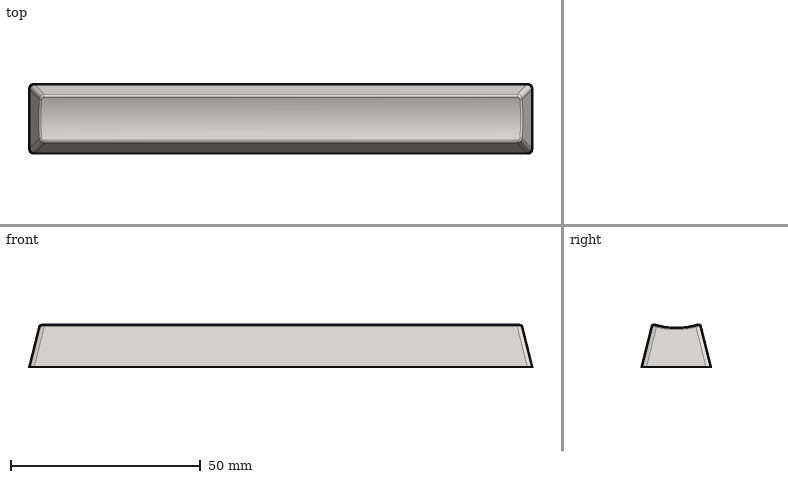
import cadquery as cq
import math

length = 132.6
width = 18.3
peak_height = 11.4
draft_angle = 14.0
corner_radius = 1.3
dish_depth = 1.0
rim_radius = 0.7

wall_inset = peak_height * math.tan(math.radians(draft_angle))
half_top_width = width / 2 - wall_inset
dish_radius = (half_top_width**2 + dish_depth**2) / (2 * dish_depth)
dish_axis_height = peak_height - dish_depth + dish_radius


def tapered_block():
    block = (
        cq.Workplane("XY")
        .rect(length, width)
        .extrude(peak_height, taper=draft_angle)
    )
    sloping_corners = block.edges("not(#Z or |X or |Y)")
    return sloping_corners.fillet(corner_radius)


def dish_cutter():
    return (
        cq.Workplane("YZ", origin=(-length / 2, 0, 0))
        .center(0, dish_axis_height)
        .circle(dish_radius)
        .extrude(length)
    )


dished_block = tapered_block().cut(dish_cutter())
dish_bottom = (0, 0, peak_height - dish_depth)
rim_edges = dished_block.faces(cq.NearestToPointSelector(dish_bottom)).edges()
result = rim_edges.fillet(rim_radius)